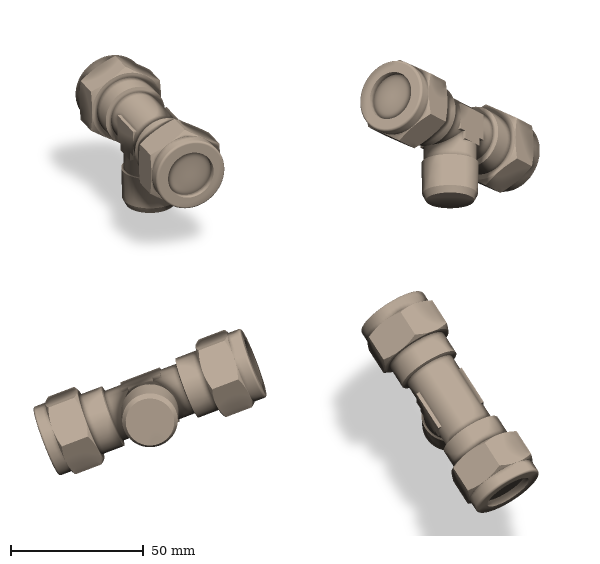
import cadquery as cq
import math

run_length = 84.0
half_length = run_length / 2
branch_end = 29.6

body_radius = 10.0
collar_radius = 12.0
collar_start = 14.6
shoulder_length = 0.4

nut_across_flats = 28.0
nut_inner_face = 23.9
nut_outer_face = 37.0
nut_chamfer_angle = 30.0
cap_radius = 13.9
cap_rounding = 0.8

socket_mouth_radius = 9.2
socket_floor_radius = 9.1
socket_depth = 2.7

neck_radius = body_radius
thread_start = 14.8
thread_end = 27.05
thread_start_radius = 10.8
thread_end_radius = 10.5
tip_radius = 9.15

pad_half_width = 8.0
pad_half_height = 5.0
pad_stem_half_width = 4.95
pad_stem_end = 8.15


def revolve_about_x(profile):
    """Revolve a closed (x, radius) profile about the run axis."""
    return cq.Workplane("XY").polyline(profile).close().revolve(360, (0, 0, 0), (1, 0, 0))


def cylinder_along_x(radius, start, end):
    return cq.Workplane("YZ").workplane(offset=start).circle(radius).extrude(end - start)


def make_collar():
    return revolve_about_x([
        (collar_start, 0),
        (collar_start, body_radius),
        (collar_start + shoulder_length, collar_radius),
        (nut_inner_face, collar_radius),
        (nut_inner_face, 0),
    ])


def make_nut():
    """Hexagon with corners up and down, its corners turned off at both faces."""
    flat_radius = nut_across_flats / 2
    corner_radius = flat_radius / math.cos(math.pi / 6)
    chamfer = (corner_radius - flat_radius) * math.tan(math.radians(nut_chamfer_angle))
    hexagon = (
        cq.Workplane("YZ")
        .workplane(offset=nut_inner_face)
        .transformed(rotate=(0, 0, 90))
        .polygon(6, 2 * corner_radius)
        .extrude(nut_outer_face - nut_inner_face)
    )
    turned_envelope = revolve_about_x([
        (nut_inner_face, 0),
        (nut_inner_face, flat_radius),
        (nut_inner_face + chamfer, corner_radius),
        (nut_outer_face - chamfer, corner_radius),
        (nut_outer_face, flat_radius),
        (nut_outer_face, 0),
    ])
    return hexagon.intersect(turned_envelope)


def make_cap():
    cap = cylinder_along_x(cap_radius, nut_outer_face, half_length)
    return cap.faces(">X").edges().fillet(cap_rounding)


def make_socket():
    """Shallow, slightly tapered recess to be cut from the end face."""
    return revolve_about_x([
        (half_length, 0),
        (half_length, socket_mouth_radius),
        (half_length - socket_depth, socket_floor_radius),
        (half_length - socket_depth, 0),
    ])


def make_branch():
    """Neck, tapered thread blank and chamfered tip, revolved about Z."""
    profile = [
        (0, 0),
        (neck_radius, 0),
        (neck_radius, -thread_start),
        (thread_start_radius, -thread_start),
        (thread_end_radius, -thread_end),
        (tip_radius, -branch_end),
        (0, -branch_end),
    ]
    return cq.Workplane("XZ").polyline(profile).close().revolve(360, (0, 0, 0), (0, 1, 0))


def make_pads():
    """Both pads as one T-shaped bar running through the body along Y."""
    outline = [
        (-pad_half_width, pad_half_height),
        (pad_half_width, pad_half_height),
        (pad_half_width, -pad_half_height),
        (pad_stem_half_width, -pad_half_height),
        (pad_stem_half_width, -pad_stem_end),
        (-pad_stem_half_width, -pad_stem_end),
        (-pad_stem_half_width, -pad_half_height),
        (-pad_half_width, -pad_half_height),
    ]
    return cq.Workplane("XZ").polyline(outline).close().extrude(body_radius, both=True)


end_assembly = make_collar().union(make_nut()).union(make_cap()).cut(make_socket())
result = (
    cylinder_along_x(body_radius, -collar_start, collar_start)
    .union(make_branch())
    .union(make_pads())
    .union(end_assembly)
    .union(end_assembly.mirror("YZ"))
)